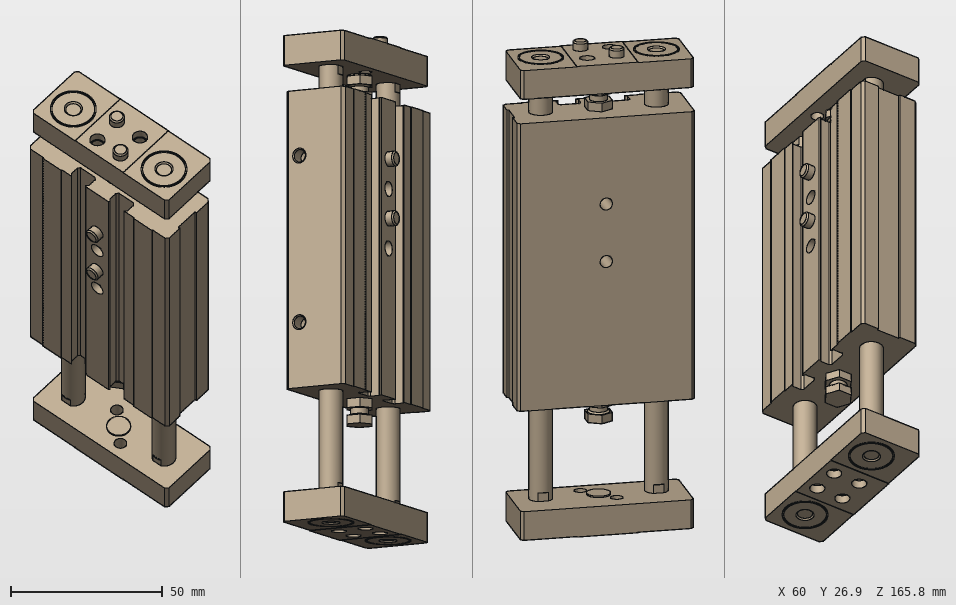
import cadquery as cq
import math


housing_width = 60.0
housing_length = 99.4
housing_back = 11.3
housing_front = -10.6
housing_chamfer = 1.0
ridge_height = 0.3
ridge_width = 8.0

slot_center = 8.3
slot_mouth = 6.0
slot_depth = 4.6
slot_flare = 0.8
slot_corner_chamfer = 0.7
pad_width = 2 * slot_center - slot_mouth
pad_chamfer = 0.5

side_groove_width = 8.5
side_groove_depth = 0.7

port_spacing = 55.6
port_y = 6.1
port_diameter = 4.1
port_rim_diameter = 5.0
port_depth = 5.0
drill_point_angle = 118.0

hole_pitch = 10.0
hole_diameter = 4.1
pin_seat_depth = 3.0
housing_hole_count = 4
pin_diameter = 5.0
pin_protrusion = 3.0
pin_chamfer = 0.5

rod_diameter = 8.0
rod_offset = 19.5
rod_flat_width = 7.1
rod_flat_length = 3.0
plate_width = 58.5
plate_back = 13.0
plate_front = -10.0
plate_thickness = 10.0
plate_corner_chamfer = 1.0
upper_plate_base = 58.6
lower_plate_base = -83.8
plate_pad_width = 20.7
plate_pad_height = 0.2
stop_disc_diameter = 8.0
stop_disc_height = 0.5
cap_outer_diameter = 15.0
cap_inner_diameter = 14.0
cap_groove_depth = 0.3
socket_rim_diameter = 6.0
socket_floor_diameter = 5.0
socket_depth = 0.5

hex_across_flats = 8.3
nut_thickness = 3.0
screw_diameter = 6.0
screw_insertion = 10.0
screw_neck_length = 2.0
collar_diameter = 7.5
collar_length = 0.5

half_length = housing_length / 2
half_width = housing_width / 2
pad_front = housing_front - ridge_height
rod_places = [(-rod_offset, 0), (rod_offset, 0)]
plate_hole_places = [(sx * hole_pitch / 2, sy * hole_pitch / 2) for sx in (-1, 1) for sy in (-1, 1)]
pinned_plate_places = [(x, y) for x, y in plate_hole_places if x * y < 0]
open_plate_places = [(x, y) for x, y in plate_hole_places if x * y > 0]
housing_hole_heights = [i * hole_pitch for i in range(housing_hole_count)]
open_heights = housing_hole_heights[0::2]
pinned_heights = housing_hole_heights[1::2]
hex_across_corners = hex_across_flats / math.cos(math.pi / 6)


def box(x_range, y_range, z_range):
    """Axis-aligned block between the given limits."""
    size = [hi - lo for lo, hi in (x_range, y_range, z_range)]
    low_corner = (x_range[0], y_range[0], z_range[0])
    return cq.Workplane("XY").box(*size, centered=False).translate(low_corner)


def rod_between(x, y, z_low, z_high, diameter):
    """Vertical cylinder from z_low to z_high."""
    return cq.Workplane("XY", origin=(x, y, z_low)).circle(diameter / 2).extrude(z_high - z_low)


def front_cylinder(z, diameter, depth):
    """Cylinder on the middle of the front pad, running back from the pad face."""
    return cq.Workplane("XZ", origin=(0, pad_front, z)).circle(diameter / 2).extrude(-depth)


def t_slot(center_x):
    """Full-length slot: walls flare out at 45 degrees behind the mouth, back corners chamfered."""
    mouth = slot_mouth / 2
    wide = mouth + slot_flare
    flare_y = housing_front + slot_flare
    back_y = housing_front + slot_depth
    right = [
        (mouth, pad_front), (mouth, housing_front), (wide, flare_y),
        (wide, back_y - slot_corner_chamfer), (wide - slot_corner_chamfer, back_y),
    ]
    left = [(-x, y) for x, y in reversed(right)]
    return (
        cq.Workplane("XY", origin=(center_x, 0, -half_length))
        .polyline(right + left).close().extrude(housing_length)
    )


def side_port(z):
    """Threaded port in the -X side: countersunk rim and drill-point bottom."""
    radius = port_diameter / 2
    rim_radius = port_rim_diameter / 2
    tip_length = radius / math.tan(math.radians(drill_point_angle / 2))
    profile = [
        (0, 0), (0, rim_radius), (rim_radius - radius, radius), (port_depth, radius),
        (port_depth + tip_length, 0),
    ]
    port = cq.Workplane("XY").polyline(profile).close().revolve(360, (0, 0, 0), (1, 0, 0))
    return port.translate((-half_width, port_y, z))


def make_housing():
    z_range = (-half_length, half_length)
    body = box((-half_width, half_width), (housing_front, housing_back), z_range)
    body = body.edges("|Z").chamfer(housing_chamfer)

    for x in (-rod_offset, rod_offset):
        body = body.union(box((x - ridge_width / 2, x + ridge_width / 2), (pad_front, 0), z_range))
    pad = box((-pad_width / 2, pad_width / 2), (pad_front, 0), z_range)
    body = body.union(pad.edges("|Z and <Y").chamfer(pad_chamfer))
    for x in (-slot_center, slot_center):
        body = body.cut(t_slot(x))

    half_groove = side_groove_width / 2
    body = body.cut(box((half_width - side_groove_depth, half_width), (-half_groove, half_groove), z_range))

    for x, y in rod_places:
        body = body.cut(rod_between(x, y, -half_length, half_length, rod_diameter))
    for z in (-half_length, half_length - screw_insertion):
        body = body.cut(rod_between(0, 0, z, z + screw_insertion, screw_diameter))

    for z in open_heights:
        body = body.cut(front_cylinder(z, hole_diameter, housing_back - pad_front))
    for z in housing_hole_heights:
        body = body.cut(front_cylinder(z, pin_diameter, pin_seat_depth))
    for z in (-port_spacing / 2, port_spacing / 2):
        body = body.cut(side_port(z))
    return body


def make_end_plate():
    """Plate from Z = 0 upward: pad, cap grooves and pin seats on top, stop disc below."""
    half_plate = plate_width / 2
    plate = box((-half_plate, half_plate), (plate_front, plate_back), (0, plate_thickness))
    plate = plate.edges("|Z").chamfer(plate_corner_chamfer)
    outer_face = plate_thickness + plate_pad_height
    half_pad = plate_pad_width / 2
    plate = plate.union(box((-half_pad, half_pad), (plate_front, plate_back), (0, outer_face)))
    plate = plate.union(rod_between(0, 0, -stop_disc_height, 0, stop_disc_diameter))

    for x, y in open_plate_places:
        plate = plate.cut(rod_between(x, y, 0, outer_face, hole_diameter))
    for x, y in plate_hole_places:
        plate = plate.cut(rod_between(x, y, outer_face - pin_seat_depth, outer_face, pin_diameter))

    for x, y in rod_places:
        groove = (
            cq.Workplane("XY", origin=(x, y, plate_thickness))
            .circle(cap_outer_diameter / 2).circle(cap_inner_diameter / 2).extrude(-cap_groove_depth)
        )
        socket = (
            cq.Workplane("XY", origin=(x, y, plate_thickness))
            .circle(socket_rim_diameter / 2)
            .workplane(offset=-socket_depth).circle(socket_floor_diameter / 2).loft()
        )
        plate = plate.cut(groove).cut(socket)
    return plate


def make_carriage_rod(x, y):
    """Guide rod between the plates, with wrench flats front and back at both ends."""
    rod = rod_between(x, y, lower_plate_base, upper_plate_base, rod_diameter)
    radius = rod_diameter / 2
    half_flat = rod_flat_width / 2
    for z in (lower_plate_base, upper_plate_base - rod_flat_length):
        for near, far in ((half_flat, radius), (-radius, -half_flat)):
            rod = rod.cut(box((x - radius, x + radius), (y + near, y + far), (z, z + rod_flat_length)))
    return rod


def make_carriage():
    upper_plate = make_end_plate().translate((0, 0, upper_plate_base))
    lower_plate = make_end_plate().rotate((0, 0, 0), (0, 1, 0), 180).translate((0, 0, lower_plate_base))
    carriage = upper_plate.union(lower_plate)
    for x, y in rod_places:
        carriage = carriage.union(make_carriage_rod(x, y))
    return carriage


def make_pin():
    """Centering pin standing on Z = 0, seated below it, with a chamfered tip."""
    pin = rod_between(0, 0, -pin_seat_depth, pin_protrusion, pin_diameter)
    return pin.faces(">Z").edges().chamfer(pin_chamfer)


def hexagon(z, length):
    """Hexagonal prism with corners on the front and back, flats on the sides."""
    prism = cq.Workplane("XY", origin=(0, 0, z)).polygon(6, hex_across_corners).extrude(length)
    return prism.rotate((0, 0, 0), (0, 0, 1), 90)


def make_lock_nut():
    """Nut resting on the upper end of the housing."""
    bore = rod_between(0, 0, half_length, half_length + nut_thickness, screw_diameter)
    return hexagon(half_length, nut_thickness).cut(bore)


def make_stop_screw():
    """Screw in the upper end of the housing, with a conical collar under its head."""
    neck_end = half_length + nut_thickness + screw_neck_length
    screw = rod_between(0, 0, half_length - screw_insertion, neck_end, screw_diameter)
    collar = (
        cq.Workplane("XY", origin=(0, 0, neck_end)).circle(screw_diameter / 2)
        .workplane(offset=collar_length).circle(collar_diameter / 2).loft()
    )
    head_start = neck_end + collar_length
    head_end = upper_plate_base - stop_disc_height
    return screw.union(collar).union(hexagon(head_start, head_end - head_start))


housing = make_housing()
carriage = make_carriage()

upper_face = upper_plate_base + plate_thickness + plate_pad_height
pins = []
for x, y in pinned_plate_places:
    pins.append(make_pin().translate((x, y, upper_face)))
for z in pinned_heights:
    pins.append(make_pin().rotate((0, 0, 0), (1, 0, 0), 90).translate((0, pad_front, z)))

lock_nuts = [make_lock_nut(), make_lock_nut().mirror("XY")]
stop_screws = [make_stop_screw(), make_stop_screw().mirror("XY")]

bodies = [housing, carriage] + pins + lock_nuts + stop_screws
result = cq.Compound.makeCompound([body.solids().val() for body in bodies])